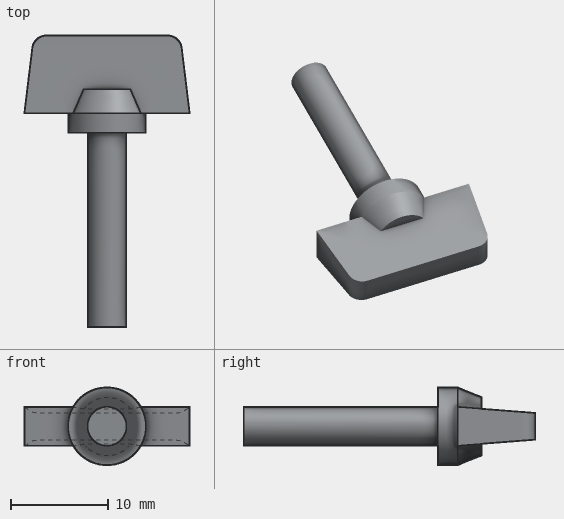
import cadquery as cq

total_length = 30.0
collar_diameter = 8.0
shaft_diameter = collar_diameter / 2
collar_thickness = 2.0
cone_length = 2.5
cone_tip_diameter = 6.0
wing_length = 8.0
wing_base_width = 17.0
wing_tip_width = 15.05
wing_base_thickness = shaft_diameter
wing_tip_thickness = 2.75
wing_corner_radius = 1.5

shaft_end = wing_length - total_length


def revolved_body():
    """Shaft, collar and cone, turned around the Y axis."""
    shaft_radius = shaft_diameter / 2
    collar_radius = collar_diameter / 2
    return (
        cq.Workplane("XY")
        .moveTo(0, shaft_end)
        .lineTo(shaft_radius, shaft_end)
        .lineTo(shaft_radius, -collar_thickness)
        .lineTo(collar_radius, -collar_thickness)
        .lineTo(collar_radius, 0)
        .lineTo(cone_tip_diameter / 2, cone_length)
        .lineTo(0, cone_length)
        .close()
        .revolve(360, (0, 0, 0), (0, 1, 0))
    )


def wing_outline(plane, base_size, tip_size, depth):
    """Symmetric trapezoid along Y, extruded equally to both sides of the plane."""
    corners = [
        (-base_size / 2, 0),
        (base_size / 2, 0),
        (tip_size / 2, wing_length),
        (-tip_size / 2, wing_length),
    ]
    return cq.Workplane(plane).polyline(corners).close().extrude(depth / 2, both=True)


def wing():
    """Grip that narrows in both width and thickness, with rounded tip corners."""
    plan = wing_outline("XY", wing_base_width, wing_tip_width, wing_base_thickness)
    plan = plan.edges("|Z and >Y").fillet(wing_corner_radius)
    zy_plane = cq.Plane(origin=(0, 0, 0), xDir=(0, 0, 1), normal=(-1, 0, 0))
    profile = wing_outline(zy_plane, wing_base_thickness, wing_tip_thickness, wing_base_width)
    return plan.intersect(profile)


result = revolved_body().union(wing())